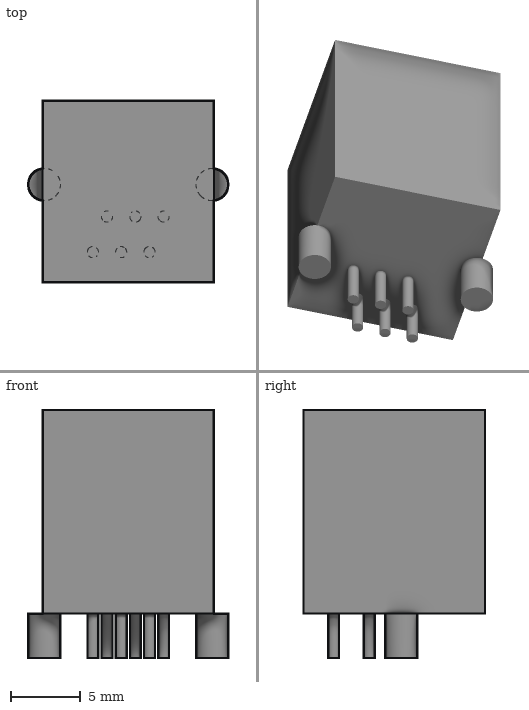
import cadquery as cq

total_height = 17.75
leg_length = 3.18
body_width = 12.25
body_depth = 13.0
body_height = total_height - leg_length

peg_diameter = 2.3
peg_span = 14.3
peg_x = (peg_span - peg_diameter) / 2
peg_y = 0.5

pin_diameter = 0.8
pin_count = 6
pin_pitch = 1.01
row_spacing = 2.54
rear_row_y = -1.8
front_row_y = rear_row_y - row_spacing


def legs(points, diameter):
    """Round legs hanging from the underside of the body, at z = 0."""
    return cq.Workplane("XY").pushPoints(points).circle(diameter / 2).extrude(-leg_length)


body = cq.Workplane("XY").box(body_width, body_depth, body_height, centered=(True, True, False))

peg_points = [(-peg_x, peg_y), (peg_x, peg_y)]

pin_points = []
for index in range(pin_count):
    x = (index - (pin_count - 1) / 2) * pin_pitch
    y = front_row_y if index % 2 == 0 else rear_row_y
    pin_points.append((x, y))

result = body.union(legs(peg_points, peg_diameter)).union(legs(pin_points, pin_diameter))